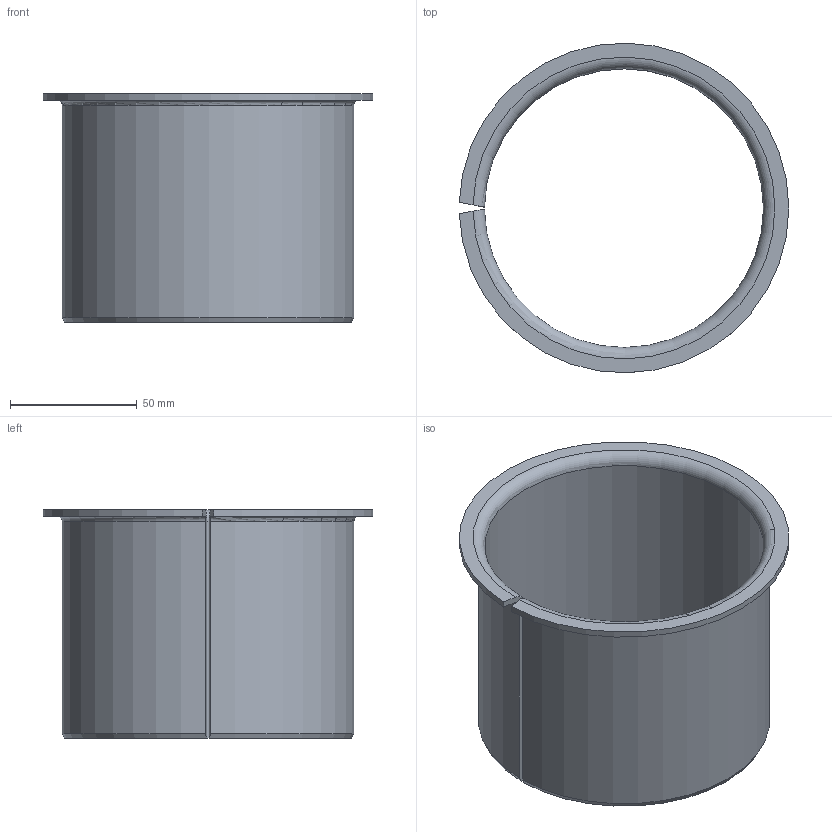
import cadquery as cq
import math

height = 90.0
bore_diameter = 110.0
flange_diameter = 130.0
wall = 2.5

outer_bend_radius = 2.0
inner_bend_radius = outer_bend_radius + wall

chamfer_height = 1.8
chamfer_angle = 25.0

split_width_at_bore = 0.9
split_half_angle = 10.0

bore_radius = bore_diameter / 2
sleeve_radius = bore_radius + wall
flange_radius = flange_diameter / 2
bend_centre_radius = sleeve_radius + outer_bend_radius
bend_centre_z = height - inner_bend_radius
chamfer_width = chamfer_height * math.tan(math.radians(chamfer_angle))


def bend_midpoint(radius):
    """Middle of the quarter arc of the bend, as (radius from Z axis, height)."""
    offset = radius * math.sqrt(0.5)
    return bend_centre_radius - offset, bend_centre_z + offset


def make_flanged_sleeve():
    """Revolve the wall section (radius, height) around the Z axis."""
    section = (
        cq.Workplane("XZ")
        .moveTo(bore_radius, 0)
        .lineTo(sleeve_radius - chamfer_width, 0)
        .lineTo(sleeve_radius, chamfer_height)
        .lineTo(sleeve_radius, bend_centre_z)
        .threePointArc(bend_midpoint(outer_bend_radius), (bend_centre_radius, height - wall))
        .lineTo(flange_radius, height - wall)
        .lineTo(flange_radius, height)
        .lineTo(bend_centre_radius, height)
        .threePointArc(bend_midpoint(inner_bend_radius), (bore_radius, bend_centre_z))
        .close()
    )
    sleeve = section.revolve(360, (0, 0, 0), (0, 1, 0))
    return sleeve.rotate((0, 0, 0), (0, 0, 1), 180)


def make_split():
    """Wedge through the full height, opening outwards from inside the bore."""
    slope = math.tan(math.radians(split_half_angle))
    apex_radius = bore_radius - split_width_at_bore / 2 / slope
    outer_radius = flange_radius + wall
    outer_half_width = (outer_radius - apex_radius) * slope
    return (
        cq.Workplane("XY")
        .moveTo(-apex_radius, 0)
        .lineTo(-outer_radius, outer_half_width)
        .lineTo(-outer_radius, -outer_half_width)
        .close()
        .extrude(height)
    )


result = make_flanged_sleeve().cut(make_split())